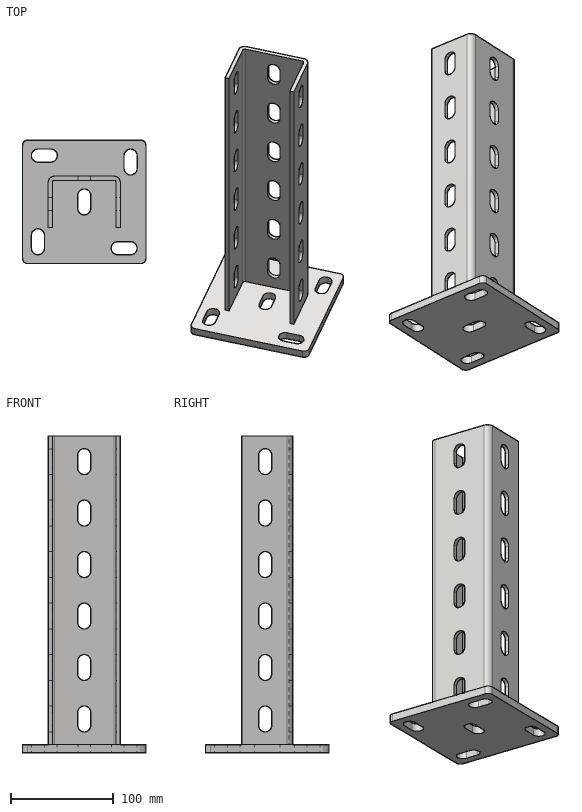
import cadquery as cq

plate_side = 120
plate_thickness = 8
plate_corner_radius = 5

channel_width = 70
channel_depth = 50
channel_height = 300
wall = 4
outer_bend_radius = 6
inner_bend_radius = outer_bend_radius - wall
back_y = channel_depth / 2
flange_edge_y = back_y - channel_depth

slot_length = 25
slot_width = 12.5
slot_pitch = 50
slot_count = 6
flange_slot_y = -2

corner_slot_margin = 8.75
corner_slot_short = plate_side / 2 - corner_slot_margin - slot_width / 2
corner_slot_long = plate_side / 2 - corner_slot_margin - slot_length / 2

cut_clearance = 1


def make_plate():
    return (
        cq.Workplane("XY")
        .box(plate_side, plate_side, plate_thickness, centered=(True, True, False))
        .edges("|Z")
        .fillet(plate_corner_radius)
    )


def cut_plate_slots(plate):
    """Cut the centre slot and four corner slots, each turned 90 degrees from its neighbours."""
    along_x = [
        (-corner_slot_long, corner_slot_short),
        (corner_slot_long, -corner_slot_short),
    ]
    along_y = [
        (corner_slot_short, corner_slot_long),
        (-corner_slot_short, -corner_slot_long),
        (0, 0),
    ]
    for positions, angle in ((along_x, 0), (along_y, 90)):
        slots = (
            cq.Workplane("XY")
            .pushPoints(positions)
            .slot2D(slot_length, slot_width, angle)
            .extrude(plate_thickness)
        )
        plate = plate.cut(slots)
    return plate


def channel_block(width, back, radius):
    """Solid block from the flange edges to the given back plane, with rounded back corners."""
    depth = back - flange_edge_y
    return (
        cq.Workplane("XY", origin=(0, flange_edge_y + depth / 2, plate_thickness))
        .box(width, depth, channel_height, centered=(True, True, False))
        .edges("|Z and >Y")
        .fillet(radius)
    )


def make_channel():
    outside = channel_block(channel_width, back_y, outer_bend_radius)
    inside = channel_block(channel_width - 2 * wall, back_y - wall, inner_bend_radius)
    return outside.cut(inside)


def cut_channel_slots(channel):
    """Cut a column of vertical slots through the back wall and through both flanges."""
    first_slot_z = plate_thickness + slot_pitch / 2
    heights = [first_slot_z + i * slot_pitch for i in range(slot_count)]
    back_slots = (
        cq.Workplane("XZ", origin=(0, back_y + cut_clearance, 0))
        .pushPoints([(0, z) for z in heights])
        .slot2D(slot_length, slot_width, 90)
        .extrude(wall + 2 * cut_clearance)
    )
    flange_slots = (
        cq.Workplane("YZ")
        .pushPoints([(flange_slot_y, z) for z in heights])
        .slot2D(slot_length, slot_width, 90)
        .extrude(channel_width / 2 + cut_clearance, both=True)
    )
    return channel.cut(back_slots).cut(flange_slots)


plate = cut_plate_slots(make_plate())
channel = cut_channel_slots(make_channel())
result = plate.union(channel)